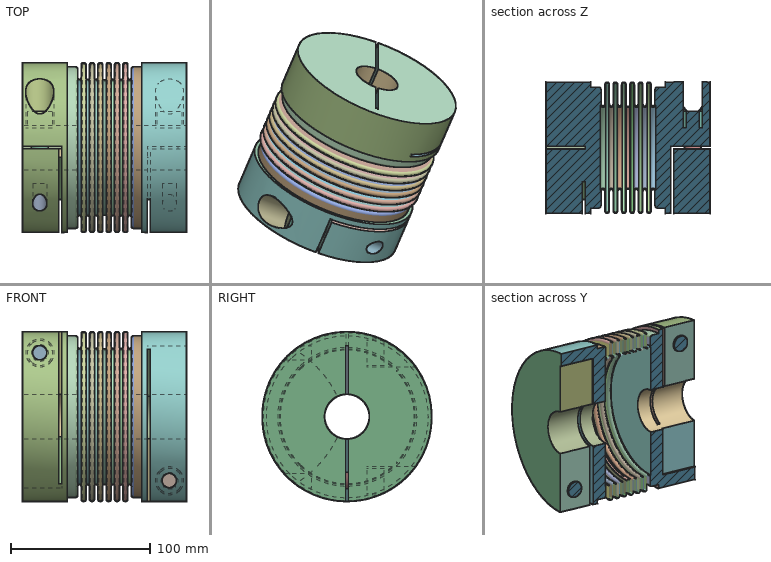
import cadquery as cq
import math


length = 118.0
outer_radius = 61.0
bore_radius = 16.0
outer_end = -length / 2

hub_length = 32.4
neck_radius = 58.2
neck_edge_fillet = 2.0

crest_count = 6
pitch = 6.0
wall = 0.7
root_radius = 48.8
fold_radius = pitch / 4
crest_half_width = fold_radius + wall / 2
valley_half_width = fold_radius - wall / 2
neck_end = -crest_count * pitch / 2 - valley_half_width

slot_width = 1.9
radial_slot_width = 2.0
radial_slot_start = outer_end + 26.2
slot_floor = -51.0
saw_radius = 80.0
saw_center_z = 20.0

screw_x = outer_end + 12.5
screw_z = 45.9
screw_diameter = 12.0
screw_length = 40.0
head_diameter = 18.0
head_height = 12.0
head_top_y = 26.3
counterbore_diameter = 20.2
core_hole_diameter = 10.3
seat_y = head_top_y - head_height
screw_tip_y = seat_y - screw_length


def x_cylinder(radius, start, end):
    return cq.Workplane("YZ", origin=(start, 0, 0)).circle(radius).extrude(end - start)


def y_cylinder(diameter, start, end):
    """Cylinder on the screw axis between two Y positions."""
    plane = cq.Plane(origin=(screw_x, start, screw_z), xDir=(1, 0, 0), normal=(0, 1, 0))
    return cq.Workplane(plane).circle(diameter / 2).extrude(end - start)


def corrugated_body(crest_half, valley_half, crest_top, valley_bottom):
    """Solid of revolution with round crests and round valleys; the middle valley is flat."""
    first_valley = -crest_count * pitch / 2
    start = first_valley - valley_half
    shoulder = crest_top - crest_half
    edge_height = valley_bottom + valley_half
    outline = cq.Workplane("XY").moveTo(start, 0)
    for index in range(crest_count + 1):
        valley_x = first_valley + index * pitch
        valley_end = valley_x + valley_half
        if index == crest_count // 2:
            outline = outline.lineTo(valley_x - valley_half, valley_bottom)
            outline = outline.lineTo(valley_end, valley_bottom)
        else:
            outline = outline.lineTo(valley_x - valley_half, edge_height)
            outline = outline.threePointArc((valley_x, valley_bottom), (valley_end, edge_height))
        if index < crest_count:
            crest_x = valley_x + pitch / 2
            outline = outline.lineTo(crest_x - crest_half, shoulder)
            outline = outline.threePointArc((crest_x, crest_top), (crest_x + crest_half, shoulder))
    return outline.lineTo(-start, 0).close().revolve(360, (0, 0, 0), (1, 0, 0))


def bellows_outside():
    return corrugated_body(crest_half_width, valley_half_width, outer_radius, root_radius)


def bellows_cavity():
    """The inside of the bellows, offset from its outside by the wall thickness."""
    return corrugated_body(
        valley_half_width, crest_half_width, outer_radius - wall, root_radius - wall
    )


def axial_slot():
    """Slot along the axis that splits the hub through its top and down to the slot floor."""
    depth = radial_slot_start + radial_slot_width - outer_end
    height = outer_radius - slot_floor
    slot = cq.Workplane("XY").box(depth, slot_width, height, centered=(False, True, False))
    return slot.translate((outer_end, 0, slot_floor))


def radial_slot():
    """Saw cut across the -Y half: straight down along the axial slot, then round as the blade."""
    wall_y = slot_width / 2
    blade_y = wall_y - saw_radius
    diagonal = saw_radius * math.sqrt(0.5)
    outline = (
        cq.Workplane("YZ", origin=(radial_slot_start, 0, 0))
        .moveTo(wall_y, outer_radius)
        .lineTo(wall_y, saw_center_z)
        .threePointArc(
            (blade_y + diagonal, saw_center_z - diagonal), (blade_y, saw_center_z - saw_radius)
        )
        .lineTo(blade_y, outer_radius)
        .close()
    )
    return outline.extrude(radial_slot_width)


def clamp_screw():
    shank = y_cylinder(screw_diameter, screw_tip_y, seat_y)
    head = y_cylinder(head_diameter, seat_y, head_top_y)
    return shank.union(head)


def hub():
    body = x_cylinder(outer_radius, outer_end, outer_end + hub_length)
    neck = x_cylinder(neck_radius, outer_end + hub_length, neck_end)
    neck = neck.faces(">X").edges().fillet(neck_edge_fillet)
    body = body.union(neck).cut(x_cylinder(bore_radius, outer_end, neck_end))
    body = body.cut(axial_slot()).cut(radial_slot())
    body = body.cut(y_cylinder(counterbore_diameter, seat_y, outer_radius))
    body = body.cut(y_cylinder(core_hole_diameter, -outer_radius, screw_tip_y))
    return body.union(clamp_screw())


near_hub = hub()
far_hub = near_hub.rotate((0, 0, 0), (0, 1, 0), 180)
result = near_hub.union(bellows_outside()).union(far_hub).cut(bellows_cavity())
result = result.cut(x_cylinder(bore_radius, outer_end, -outer_end))